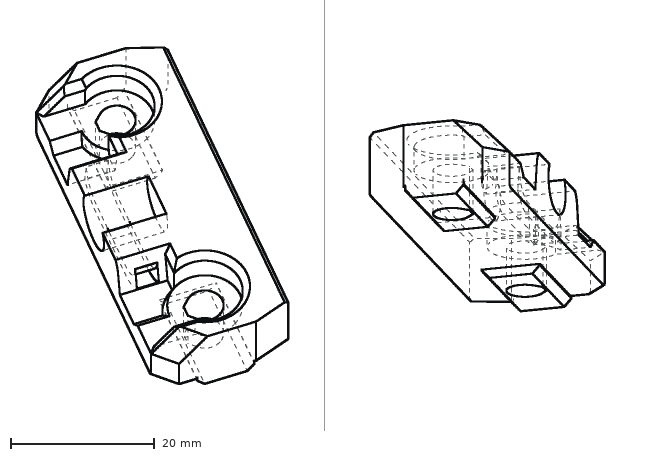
import cadquery as cq
import math


LENGTH = 51.0
WIDTH = 20.0
BODY_DEPTH = 9.5
TOTAL_DEPTH = 10.8
EDGE_SIZE = 0.6
REAR_CUT_X = 1.95
REAR_CUT_Y = 5.5
FRONT_CUT = 3.0

END_X = LENGTH / 2
REAR_Y = WIDTH / 2
FRONT_Y = -WIDTH / 2

RAIL_HALF_WIDTH = 4.25
RAIL_TIP_HALF_WIDTH = 3.15
RAIL_STRAIGHT = 0.15
RAIL_LENGTH = 15.0

SCREW_X = 17.25
SCREW_HOLE_RADIUS = 2.6
SCREW_HOLE_FLAT_Y = -2.85
SEAT_RADIUS = 5.25
SEAT_DEPTH = 4.4
RIM_BEVEL = 1.0
PASSAGE_OUTER_X = 21.45
PASSAGE_BEVEL = 1.15
SLOPE_START_Y = -2.75

POCKET_DEPTH = 5.9
POCKET_REAR_Y = -2.9
POCKET_FLOOR_X = 10.25
POCKET_TOP_X = 8.5
POCKET_DRAFT = 10.0
POCKET_ROUND_DEPTH = 1.8
SEAT_FOOT_RADIUS = 5.9

GROOVE_RADIUS = 4.05
GROOVE_AXIS_DEPTH = 2.05
GROOVE_REAR_Y = -0.5

TUNNEL_REAR_Y = -4.2
TUNNEL_WIDTH = 3.25
TUNNEL_HEIGHT = 2.0
TUNNEL_INNER_HALF = 9.55
TUNNEL_OPENING = 1.45


def extrude_y(profile, rear_y, front_y):
    """Extrude an XZ profile from rear_y forwards to front_y."""
    return profile.extrude(rear_y - front_y).translate((0, rear_y, 0))


def xz_sketch():
    return cq.Workplane("XZ")


def main_block():
    outline = [
        (-END_X + FRONT_CUT, FRONT_Y),
        (END_X - FRONT_CUT, FRONT_Y),
        (END_X, FRONT_Y + FRONT_CUT),
        (END_X, REAR_Y - REAR_CUT_Y),
        (END_X - REAR_CUT_X, REAR_Y),
        (-END_X + REAR_CUT_X, REAR_Y),
        (-END_X, REAR_Y - REAR_CUT_Y),
        (-END_X, FRONT_Y + FRONT_CUT),
    ]
    block = cq.Workplane("XY").polyline(outline).close().extrude(-BODY_DEPTH)
    block = block.faces("<Z").edges("not <Y").fillet(EDGE_SIZE)
    return block.faces(">Z").edges(">Y").chamfer(EDGE_SIZE)


def rail():
    """Left-hand rail with sloped flanks, overlapping the block at its root."""
    root_z = -BODY_DEPTH + EDGE_SIZE
    straight_z = -BODY_DEPTH - RAIL_STRAIGHT
    section = [
        (-RAIL_HALF_WIDTH, root_z),
        (RAIL_HALF_WIDTH, root_z),
        (RAIL_HALF_WIDTH, straight_z),
        (RAIL_TIP_HALF_WIDTH, -TOTAL_DEPTH),
        (-RAIL_TIP_HALF_WIDTH, -TOTAL_DEPTH),
        (-RAIL_HALF_WIDTH, straight_z),
    ]
    bar = cq.Workplane("YZ").polyline(section).close().extrude(RAIL_LENGTH)
    return bar.translate((-END_X, 0, 0))


def screw_seat():
    """Bevelled counterbore, revolved about the screw axis."""
    section = [
        (0, 0),
        (SEAT_RADIUS + RIM_BEVEL, 0),
        (SEAT_RADIUS, -RIM_BEVEL),
        (SEAT_RADIUS, -SEAT_DEPTH),
        (0, -SEAT_DEPTH),
    ]
    seat = xz_sketch().polyline(section).close().revolve(360, (0, 0), (0, 1))
    return seat.translate((-SCREW_X, 0, 0))


def screw_hole():
    """Through hole shaped as a 45 degree teardrop with its front point cut off."""
    tangent = SCREW_HOLE_RADIUS / math.sqrt(2)
    flat_half = 2 * tangent + SCREW_HOLE_FLAT_Y
    hole = (
        cq.Workplane("XY")
        .moveTo(-flat_half, SCREW_HOLE_FLAT_Y)
        .lineTo(flat_half, SCREW_HOLE_FLAT_Y)
        .lineTo(tangent, -tangent)
        .threePointArc((0, SCREW_HOLE_RADIUS), (-tangent, -tangent))
        .close()
        .extrude(-TOTAL_DEPTH)
    )
    return hole.translate((-SCREW_X, 0, 0))


def passage():
    """Opening from the screw seat to the front, bevelled along its outer top edge."""
    section = [
        (-SCREW_X, 0),
        (-PASSAGE_OUTER_X - PASSAGE_BEVEL, 0),
        (-PASSAGE_OUTER_X, -PASSAGE_BEVEL),
        (-PASSAGE_OUTER_X, -SEAT_DEPTH),
        (-SCREW_X, -SEAT_DEPTH),
    ]
    return extrude_y(xz_sketch().polyline(section).close(), SLOPE_START_Y, FRONT_Y)


def pocket():
    """Deeper pocket with a 45 degree outer wall and a drafted, rounded inner wall."""
    draft = math.radians(POCKET_DRAFT)
    round_x = -POCKET_FLOOR_X + (POCKET_DEPTH - POCKET_ROUND_DEPTH) * math.tan(draft)
    step = POCKET_DEPTH - SEAT_DEPTH
    profile = (
        xz_sketch()
        .moveTo(-SCREW_X, 0)
        .lineTo(-SCREW_X, -SEAT_DEPTH)
        .lineTo(-SCREW_X + step, -POCKET_DEPTH)
        .lineTo(-POCKET_FLOOR_X, -POCKET_DEPTH)
        .lineTo(round_x, -POCKET_ROUND_DEPTH)
        .tangentArcPoint((-POCKET_TOP_X, 0), relative=False)
        .close()
    )
    rim_y = POCKET_REAR_Y + RIM_BEVEL
    cavity = extrude_y(profile, rim_y, FRONT_Y)

    side_section = [
        (FRONT_Y, 0),
        (rim_y, 0),
        (POCKET_REAR_Y, -RIM_BEVEL),
        (POCKET_REAR_Y, -POCKET_DEPTH),
        (FRONT_Y, -POCKET_DEPTH),
    ]
    envelope = cq.Workplane("YZ").polyline(side_section).close().extrude(-END_X)

    skirt_section = [
        (0, -SEAT_DEPTH),
        (SEAT_RADIUS, -SEAT_DEPTH),
        (SEAT_FOOT_RADIUS, -POCKET_DEPTH),
        (0, -POCKET_DEPTH),
    ]
    skirt = xz_sketch().polyline(skirt_section).close().revolve(360, (0, 0), (0, 1))
    return cavity.intersect(envelope).cut(skirt.translate((-SCREW_X, 0, 0)))


def corner_slope():
    """Sloping cut over the front corner, meeting the 45 degree face at seat depth."""
    run = (SLOPE_START_Y - FRONT_Y - FRONT_CUT) / math.sqrt(2)
    across = cq.Plane(origin=(-END_X, SLOPE_START_Y, 0), xDir=(-1, -1, 0), normal=(-1, 1, 0))
    triangle = [(0, 0), (run, -SEAT_DEPTH), (run, 0)]
    return cq.Workplane(across).polyline(triangle).close().extrude(LENGTH / 4, both=True)


def slope_rim():
    """Bevel along the edge between the corner slope and the passage wall."""
    drop_y = SLOPE_START_Y - FRONT_Y - FRONT_CUT
    edge_length = math.hypot(drop_y, SEAT_DEPTH)
    corner_x = -END_X + FRONT_CUT
    bevel_width = -PASSAGE_OUTER_X - corner_x
    rise = bevel_width * SEAT_DEPTH / edge_length
    leg = math.hypot(bevel_width, rise)
    square_to_edge = cq.Plane(
        origin=(corner_x, FRONT_Y, -SEAT_DEPTH),
        xDir=(1, 0, 0),
        normal=(0, drop_y, SEAT_DEPTH),
    )
    triangle = [(0, 0), (bevel_width, -rise), (bevel_width, leg - rise)]
    wedge = cq.Workplane(square_to_edge).polyline(triangle).close().extrude(edge_length)
    above_seat = cq.Workplane("XY").box(LENGTH, WIDTH, SEAT_DEPTH, centered=(True, True, False))
    return wedge.intersect(above_seat.translate((0, 0, -SEAT_DEPTH)))


def groove():
    profile = xz_sketch().center(0, -GROOVE_AXIS_DEPTH).circle(GROOVE_RADIUS)
    return extrude_y(profile, GROOVE_REAR_Y, FRONT_Y)


def strap_tunnel():
    """U-shaped tunnel with concentric rounded corners, joining the two pockets."""
    roof_depth = GROOVE_AXIS_DEPTH + math.sqrt(GROOVE_RADIUS**2 - (TUNNEL_OPENING / 2) ** 2)
    inner_radius = roof_depth - GROOVE_AXIS_DEPTH
    outer_radius = inner_radius + TUNNEL_HEIGHT
    outer_half = TUNNEL_INNER_HALF + TUNNEL_HEIGHT
    bend_x = TUNNEL_INNER_HALF - inner_radius
    floor_depth = roof_depth + TUNNEL_HEIGHT
    profile = (
        xz_sketch()
        .moveTo(-outer_half, -GROOVE_AXIS_DEPTH)
        .radiusArc((-bend_x, -floor_depth), -outer_radius)
        .lineTo(bend_x, -floor_depth)
        .radiusArc((outer_half, -GROOVE_AXIS_DEPTH), -outer_radius)
        .lineTo(TUNNEL_INNER_HALF, -GROOVE_AXIS_DEPTH)
        .radiusArc((bend_x, -roof_depth), inner_radius)
        .lineTo(-bend_x, -roof_depth)
        .radiusArc((-TUNNEL_INNER_HALF, -GROOVE_AXIS_DEPTH), inner_radius)
        .close()
    )
    return extrude_y(profile, TUNNEL_REAR_Y, TUNNEL_REAR_Y - TUNNEL_WIDTH)


def both_ends(shape):
    """Return a left-hand shape and its mirror image at the right-hand end."""
    return [shape, shape.mirror("YZ")]


result = main_block()
for end_rail in both_ends(rail()):
    result = result.union(end_rail)
for feature in (screw_seat(), screw_hole(), passage(), pocket(), corner_slope(), slope_rim()):
    for cutter in both_ends(feature):
        result = result.cut(cutter)
result = result.cut(groove()).cut(strap_tunnel())